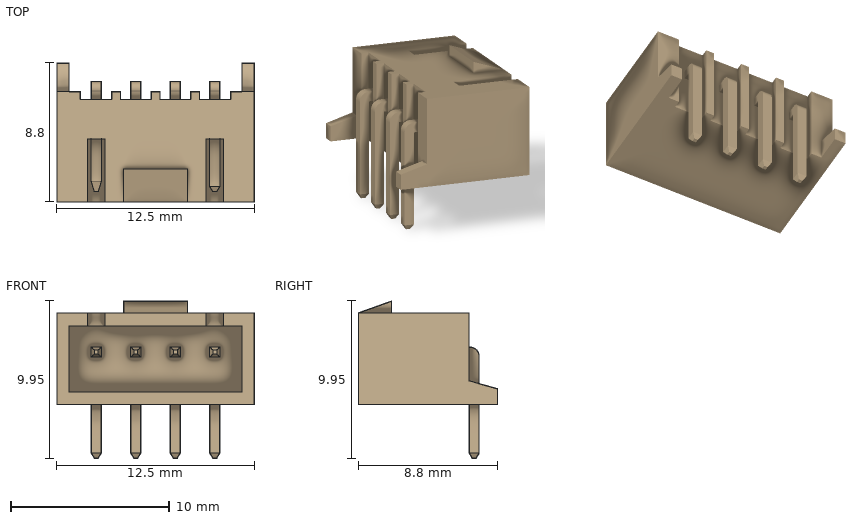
import cadquery as cq


pin_count = 4
pitch = 2.5
pin_positions = [(i - (pin_count - 1) / 2) * pitch for i in range(pin_count)]

housing_width = 12.5
housing_depth = 7.0
housing_height = 5.8
side_wall = 0.78
top_wall = 0.82
bottom_wall = 0.78
cavity_depth = 5.05

slot_width = 1.09
slot_length = 4.0

ramp_width = 4.05
ramp_length = 2.1
ramp_height = 0.75

foot_reach = 1.8
foot_tip_height = 1.0
foot_root_height = 1.5

rear_recess_depth = 0.5
rear_shoulder_width = 1.5
rear_recess_width = housing_width - 2 * rear_shoulder_width
rib_width = 0.57

pin_size = 0.64
pin_axis_height = 3.32
pin_tail_length = 3.4
pin_front = 0.66
pin_bend_radius = 0.6
pin_back = housing_depth + pin_size
tip_width = 0.25
mating_tip_length = 0.66
short_mating_tip_length = 0.33
tail_tip_length = 0.33


def box(x_center, width, y_min, y_max, z_min, z_max):
    """Block centred on x_center, between the given y and z limits."""
    block = cq.Workplane("XY").box(width, y_max - y_min, z_max - z_min, centered=(True, False, False))
    return block.translate((x_center, y_min, z_min))


def side_profile(points, x_center, width):
    """Closed (y, z) outline extruded along X, centred on x_center."""
    solid = cq.Workplane("YZ").polyline(points).close().extrude(width / 2, both=True)
    return solid.translate((x_center, 0, 0))


def make_shell():
    outside = box(0, housing_width, 0, housing_depth, 0, housing_height)
    cavity = box(0, housing_width - 2 * side_wall, 0, cavity_depth, bottom_wall, housing_height - top_wall)
    return outside.cut(cavity)


def cut_keying_slots(housing):
    for x in (pin_positions[0], pin_positions[-1]):
        housing = housing.cut(box(x, slot_width, 0, slot_length, housing_height - top_wall, housing_height))
    return housing


def add_latch_ramp(housing):
    outline = [
        (0, housing_height),
        (ramp_length, housing_height),
        (ramp_length, housing_height + ramp_height),
    ]
    return housing.union(side_profile(outline, 0, ramp_width))


def add_feet(housing):
    foot_end = housing_depth + foot_reach
    foot_x = (housing_width - side_wall) / 2
    outline = [
        (housing_depth - rear_recess_depth, 0),
        (foot_end, 0),
        (foot_end, foot_tip_height),
        (housing_depth, foot_root_height),
        (housing_depth - rear_recess_depth, foot_root_height),
    ]
    for x in (-foot_x, foot_x):
        housing = housing.union(side_profile(outline, x, side_wall))
    return housing


def cut_rear_recess(housing):
    recess_floor = housing_depth - rear_recess_depth
    recess = box(0, rear_recess_width, recess_floor, housing_depth, 0, housing_height)
    for left_pin, right_pin in zip(pin_positions, pin_positions[1:]):
        rib_x = (left_pin + right_pin) / 2
        recess = recess.cut(box(rib_x, rib_width, recess_floor, housing_depth, 0, housing_height))
    return housing.cut(recess)


def make_tip(plane, length):
    """Four-sided taper from the pin section to the blunt tip, along the plane's normal."""
    return (
        cq.Workplane(plane)
        .rect(pin_size, pin_size)
        .workplane(offset=length)
        .rect(tip_width, tip_width)
        .loft(ruled=True)
    )


def make_pin(x, front_tip_length):
    """Bent square pin: a mating arm along Y and a tail going down through the board."""
    arm_top = pin_axis_height + pin_size / 2
    arm_bottom = pin_axis_height - pin_size / 2
    arm_front = pin_front + front_tip_length
    tail_shoulder = tail_tip_length - pin_tail_length
    tail_front = pin_back - pin_size

    arm = box(x, pin_size, arm_front, pin_back, arm_bottom, arm_top)
    tail = box(x, pin_size, tail_front, pin_back, tail_shoulder, arm_top)
    bent = arm.union(tail).edges("|X and >Y and >Z").fillet(pin_bend_radius)

    front_plane = cq.Plane(origin=(x, arm_front, pin_axis_height), xDir=(1, 0, 0), normal=(0, -1, 0))
    tail_plane = cq.Plane(
        origin=(x, pin_back - pin_size / 2, tail_shoulder), xDir=(1, 0, 0), normal=(0, 0, -1)
    )
    front_tip = make_tip(front_plane, front_tip_length)
    tail_tip = make_tip(tail_plane, tail_tip_length)
    return bent.union(front_tip).union(tail_tip)


front_tip_lengths = [mating_tip_length] * (pin_count - 1) + [short_mating_tip_length]
pins = [make_pin(x, length) for x, length in zip(pin_positions, front_tip_lengths)]

housing = make_shell()
housing = cut_keying_slots(housing)
housing = add_latch_ramp(housing)
housing = add_feet(housing)
housing = cut_rear_recess(housing)
for pin in pins:
    housing = housing.cut(pin)

result = cq.Compound.makeCompound([housing.solids().val(), *[pin.solids().val() for pin in pins]])